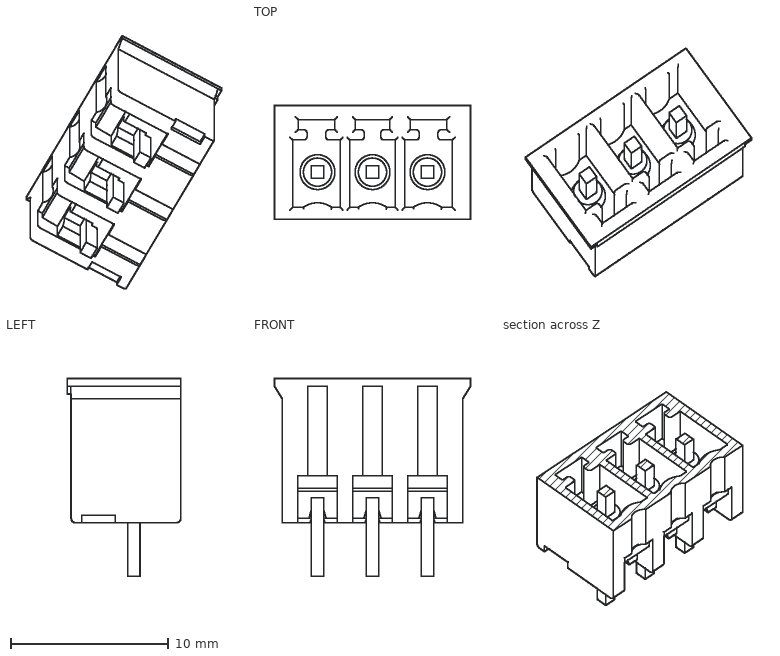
import cadquery as cq


PITCH = 3.5
POSITIONS = (-1, 0, 1)

BODY_WIDTH = 11.5
BODY_DEPTH = 7.0
BODY_HEIGHT = 9.2
BOTTOM_ROUND = 0.3

FLANGE_WIDTH = 12.5
FLANGE_DEPTH = 7.25
FLANGE_THICKNESS = 0.5
FLARE_HEIGHT = 0.8
LATCH_RIB_HEIGHT = 0.5

POCKET_FLOOR = 3.0
POCKET_HALF_WIDTH = 1.45
TAB_HALF_WIDTH = 1.1
NECK_HALF_WIDTH = 0.53
END_WIDENING = 0.14
POCKET_FRONT = 0.75
POST_FRONT = 5.05
POST_BACK = 5.7
POCKET_BACK = 6.35
RIM_ROUND = 0.2
SOCKET_BASE_RADIUS = 1.11
SOCKET_TOP_RADIUS = 0.9
SOCKET_HEIGHT = 1.2

GROOVE_WIDTH = 1.24
GROOVE_DEPTH = 0.3
BULGE_REACH = 1.05

SLOT_WIDTH = 2.52
SLOT_HEIGHT = 3.0
SLOT_DEPTH = 1.43
LIP_DEPTH = 0.33
LIP_BOTTOM = 2.2
LIP_SLOPE_END = 2.0

RECESS_HEIGHT = 0.3
RECESS_BACK = 4.18
END_NOTCH_FRONT = RECESS_BACK
END_NOTCH_BACK = 6.3
END_NOTCH_HEIGHT = 0.5
END_NOTCH_DEPTH = 0.6

PIN_SIZE = 0.8
PIN_Y = 3.0
PIN_BOTTOM = -3.4
PIN_TOP = 8.0

CHANNEL_TOP = 1.6
LEAD_IN_WIDTH = 1.1
LEAD_IN_HEIGHT = 0.48
REAR_LEAD_IN_WIDTH = 0.94

half_chord = GROOVE_WIDTH / 2
groove_radius = (half_chord**2 + GROOVE_DEPTH**2) / (2 * GROOVE_DEPTH)
groove_center_y = GROOVE_DEPTH - groove_radius
bulge_radius = BULGE_REACH - groove_center_y
flange_bottom = BODY_HEIGHT - FLANGE_THICKNESS


def box(x_min, x_max, y_min, y_max, z_min, z_max):
    """A block given by its limits along each axis."""
    size = (x_max - x_min, y_max - y_min, z_max - z_min)
    return cq.Workplane("XY").box(*size, centered=False).translate((x_min, y_min, z_min))


def prism_along_y(points, y_min, y_max):
    """A closed XZ outline carried from y_min to y_max."""
    return cq.Workplane("XZ", origin=(0, y_min, 0)).polyline(points).close().extrude(y_min - y_max)


def make_housing():
    half_body = BODY_WIDTH / 2
    half_flange = FLANGE_WIDTH / 2
    block = box(-half_body, half_body, 0, BODY_DEPTH, 0, BODY_HEIGHT)
    block = block.edges("|X and <Z").fillet(BOTTOM_ROUND)
    flare = prism_along_y(
        [
            (-half_body, flange_bottom - FLARE_HEIGHT),
            (half_body, flange_bottom - FLARE_HEIGHT),
            (half_flange, flange_bottom),
            (-half_flange, flange_bottom),
        ],
        0,
        BODY_DEPTH,
    )
    flange = box(-half_flange, half_flange, 0, FLANGE_DEPTH, flange_bottom, BODY_HEIGHT)
    rib_bottom = flange_bottom - LATCH_RIB_HEIGHT
    latch_rib = box(-half_body, half_body, BODY_DEPTH, FLANGE_DEPTH, rib_bottom, flange_bottom)
    return block.union(flare).union(flange).union(latch_rib)


def make_pocket(position):
    """T-shaped pocket with a bulged front wall; rounded posts narrow its neck."""
    center = position * PITCH
    widen_left = END_WIDENING if position == POSITIONS[0] else 0
    widen_right = END_WIDENING if position == POSITIONS[-1] else 0

    def cavity(half_width, y_min, y_max):
        x_min = center - half_width - widen_left
        x_max = center + half_width + widen_right
        return box(x_min, x_max, y_min, y_max, POCKET_FLOOR, BODY_HEIGHT)

    pocket = cavity(POCKET_HALF_WIDTH, POCKET_FRONT, POST_FRONT)
    pocket = pocket.union(cavity(NECK_HALF_WIDTH, POST_FRONT, POST_BACK))
    pocket = pocket.union(cavity(TAB_HALF_WIDTH, POST_BACK, POCKET_BACK))
    bulge = cq.Workplane("XY").center(center, groove_center_y).circle(bulge_radius).extrude(BODY_HEIGHT)
    return pocket.cut(bulge)


def round_rims(housing):
    """Rounds the pocket rims together with the upright edges of the posts."""
    margin = 0.1
    half_rims = FLANGE_WIDTH / 2 - margin
    rim_edges = cq.selectors.BoxSelector(
        (-half_rims, margin, BODY_HEIGHT - margin),
        (half_rims, POCKET_BACK + margin, BODY_HEIGHT + margin),
    )
    edges = housing.edges(rim_edges)
    reach = NECK_HALF_WIDTH + END_WIDENING + margin
    middle = (POCKET_FLOOR + BODY_HEIGHT) / 2
    for position in POSITIONS:
        center = position * PITCH
        post_edges = cq.selectors.BoxSelector(
            (center - reach, POST_FRONT - margin, middle - margin),
            (center + reach, POST_BACK + margin, middle + margin),
        )
        edges = edges.add(housing.edges(post_edges).vals())
    return edges.fillet(RIM_ROUND)


def make_socket(center):
    """Conical base around a pin on the pocket floor."""
    profile = [
        (0, POCKET_FLOOR),
        (SOCKET_BASE_RADIUS, POCKET_FLOOR),
        (SOCKET_TOP_RADIUS, POCKET_FLOOR + SOCKET_HEIGHT),
        (0, POCKET_FLOOR + SOCKET_HEIGHT),
    ]
    cone = cq.Workplane("XZ").polyline(profile).close().revolve(360, (0, 0), (0, 1))
    return cone.translate((center, PIN_Y, 0))


def make_groove(center):
    height = flange_bottom - SLOT_HEIGHT
    sketch = cq.Workplane("XY", origin=(center, groove_center_y, SLOT_HEIGHT))
    return sketch.circle(groove_radius).extrude(height)


def make_slot(center):
    """Front slot under a sloping lip, with a shallow recess running on below it."""
    profile = [
        (0, 0),
        (SLOT_DEPTH, 0),
        (SLOT_DEPTH, LIP_SLOPE_END),
        (LIP_DEPTH, LIP_BOTTOM),
        (LIP_DEPTH, SLOT_HEIGHT),
        (0, SLOT_HEIGHT),
    ]
    left = center - SLOT_WIDTH / 2
    slot = cq.Workplane("YZ", origin=(left, 0, 0)).polyline(profile).close().extrude(SLOT_WIDTH)
    recess = box(left, left + SLOT_WIDTH, SLOT_DEPTH, RECESS_BACK, 0, RECESS_HEIGHT)
    return slot.union(recess)


def make_lead_in(center, mouth_width, z_mouth, y_min, y_max):
    """Groove along Y that narrows upward from its mouth to the width of a pin."""
    mouth = mouth_width / 2
    half_pin = PIN_SIZE / 2
    rise = LEAD_IN_HEIGHT * (mouth_width - PIN_SIZE) / (LEAD_IN_WIDTH - PIN_SIZE)
    points = [
        (center - mouth, z_mouth),
        (center + mouth, z_mouth),
        (center + half_pin, z_mouth + rise),
        (center - half_pin, z_mouth + rise),
    ]
    return prism_along_y(points, y_min, y_max)


def make_channel(center):
    """Upright channel to a pin, with lead-ins at the slot and through the rear wall of the recess."""
    half_pin = PIN_SIZE / 2
    channel = box(center - half_pin, center + half_pin, SLOT_DEPTH, PIN_Y, 0, CHANNEL_TOP)
    front = make_lead_in(center, LEAD_IN_WIDTH, RECESS_HEIGHT, SLOT_DEPTH, PIN_Y)
    rear = make_lead_in(center, REAR_LEAD_IN_WIDTH, 0, RECESS_BACK, BODY_DEPTH)
    return channel.union(front).union(rear)


def make_end_notch(side):
    outer = side * BODY_WIDTH / 2
    inner = outer - side * END_NOTCH_DEPTH
    limits = sorted((outer, inner))
    return box(*limits, END_NOTCH_FRONT, END_NOTCH_BACK, 0, END_NOTCH_HEIGHT)


def make_pin(center):
    half = PIN_SIZE / 2
    return box(center - half, center + half, PIN_Y - half, PIN_Y + half, PIN_BOTTOM, PIN_TOP)


result = make_housing()
for position in POSITIONS:
    result = result.cut(make_pocket(position))
result = round_rims(result)
for side in (-1, 1):
    result = result.cut(make_end_notch(side))
for position in POSITIONS:
    pin_x = position * PITCH
    result = result.cut(make_groove(pin_x)).cut(make_slot(pin_x)).cut(make_channel(pin_x))
    result = result.union(make_socket(pin_x)).union(make_pin(pin_x))